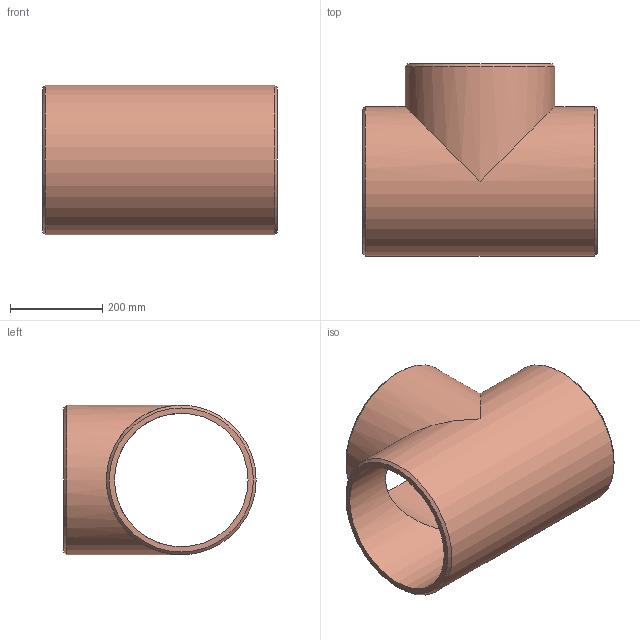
import cadquery as cq

OUTER_DIAMETER = 323.85
WALL_THICKNESS = 17.48
CENTER_TO_END = 254.0
BEVEL_LENGTH = 6.0
BEVEL_DEPTH = 6.0

outer_radius = OUTER_DIAMETER / 2
bore_radius = outer_radius - WALL_THICKNESS


def limb_outside(direction):
    """Solid limb from the axis crossing to one open end, bevelled at that end."""
    limb = cq.Solid.makeCylinder(
        outer_radius, CENTER_TO_END - BEVEL_LENGTH, cq.Vector(0, 0, 0), direction
    )
    bevel = cq.Solid.makeCone(
        outer_radius,
        outer_radius - BEVEL_DEPTH,
        BEVEL_LENGTH,
        direction * (CENTER_TO_END - BEVEL_LENGTH),
        direction,
    )
    return cq.Workplane(limb).union(cq.Workplane(bevel))


def limb_bore(direction):
    """Bore of one limb, from the axis crossing to the open end."""
    return cq.Workplane(
        cq.Solid.makeCylinder(bore_radius, CENTER_TO_END, cq.Vector(0, 0, 0), direction)
    )


run_left = cq.Vector(-1, 0, 0)
run_right = cq.Vector(1, 0, 0)
branch = cq.Vector(0, 1, 0)

body = limb_outside(run_left).union(limb_outside(run_right)).union(limb_outside(branch))
bore = limb_bore(run_left).union(limb_bore(run_right)).union(limb_bore(branch))

result = body.cut(bore).clean()